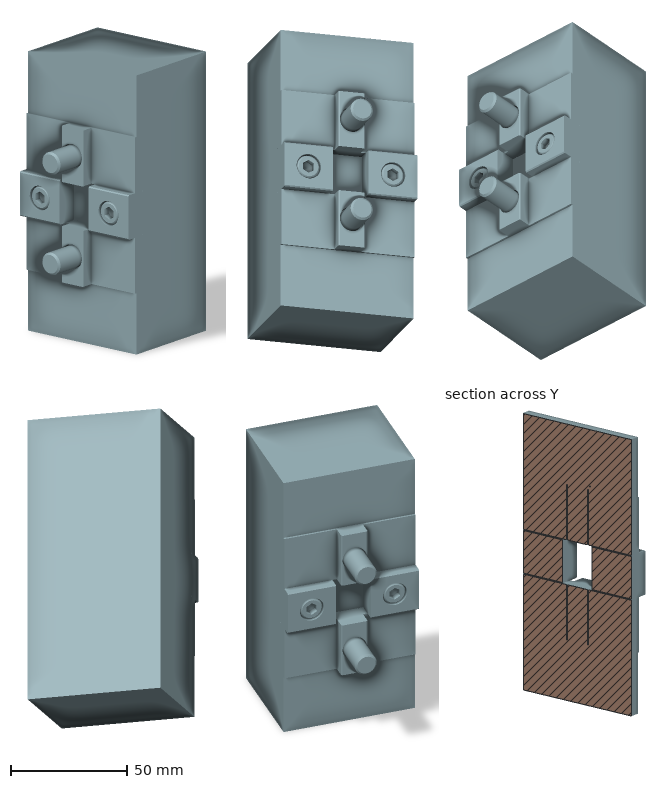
import cadquery as cq
import math

width = 60.0
height = 125.0
block_depth = 48.0

pad_height = 70.0
pad_thickness = 1.0
pad_front = block_depth + pad_thickness

groove_depth = 5.5
groove_floor = pad_front - groove_depth
side_key_width = 20.0
side_key_length = 22.0
side_key_front = 53.5
pin_key_width = 12.0
pin_key_length = (pad_height - side_key_width) / 2
pin_key_front = 55.0
key_chamfer = 0.5

bore_diameter = 11.0
bore_depth = 2.5
pin_diameter = 10.0
pin_end = 70.0
pin_chamfer = 0.9
pin_offset = 22.5
screw_offset = 19.0
head_diameter = 10.0
head_chamfer = 0.6
head_recess = 0.2
head_front = side_key_front - head_recess
socket_flats = 5.0
socket_depth = 3.0
socket_cone_height = 1.5
hexagon_sides = 6
half_hexagon_angle = 180 / hexagon_sides


def box(x_size, z_size, back, front):
    """Box centred on the Y axis, spanning depths back to front."""
    return cq.Workplane("XZ").rect(x_size, z_size).extrude(front - back).translate((0, -back, 0))


def cylinder(diameter, back, front):
    """Cylinder along Y, spanning depths back to front."""
    return cq.Workplane("XZ").circle(diameter / 2).extrude(front - back).translate((0, -back, 0))


def side_key():
    """Key lying along X, with all four long edges chamfered."""
    return box(side_key_length, side_key_width, groove_floor, side_key_front).edges("|X").chamfer(key_chamfer)


def pin_key():
    """Key standing along Z, with all four long edges chamfered."""
    return box(pin_key_width, pin_key_length, groove_floor, pin_key_front).edges("|Z").chamfer(key_chamfer)


def pin():
    """Round pin with a chamfered tip, rooted at the groove floor."""
    return cylinder(pin_diameter, groove_floor, pin_end).faces("<Y").chamfer(pin_chamfer)


def screw():
    """Screw head with a hexagon socket that ends in a cone."""
    head = cylinder(head_diameter, groove_floor, head_front).faces("<Y").chamfer(head_chamfer)
    socket_corners = socket_flats / math.cos(math.radians(half_hexagon_angle))
    socket_floor = head_front - socket_depth
    socket = (
        cq.Workplane("XZ")
        .polygon(hexagon_sides, socket_corners)
        .extrude(socket_depth)
        .rotate((0, 0, 0), (0, 1, 0), half_hexagon_angle)
        .translate((0, -socket_floor, 0))
    )
    cone = cq.Workplane(
        cq.Solid.makeCone(
            socket_flats / 2, 0, socket_cone_height,
            pnt=cq.Vector(0, -socket_floor, 0), dir=cq.Vector(0, 1, 0),
        )
    )
    return head.cut(socket).cut(cone)


body = box(width, height, 0, block_depth)
body = body.union(box(width, pad_height, block_depth, pad_front))
body = body.cut(box(width, side_key_width, groove_floor, pad_front))
body = body.cut(box(pin_key_width, pad_height, groove_floor, pad_front))

side_key_offset = (width - side_key_length) / 2
for side in (-1, 1):
    screw_place = (side * screw_offset, 0, 0)
    key = side_key().translate((side * side_key_offset, 0, 0))
    bore = cylinder(bore_diameter, side_key_front - bore_depth, side_key_front)
    key = key.cut(bore.translate(screw_place))
    hole = cylinder(head_diameter, groove_floor, side_key_front).translate(screw_place)
    body = body.union(key.cut(hole)).union(screw().translate(screw_place))

pin_key_offset = (side_key_width + pin_key_length) / 2
for side in (-1, 1):
    pin_place = (0, 0, side * pin_offset)
    key = pin_key().translate((0, 0, side * pin_key_offset))
    bore = cylinder(bore_diameter, pin_key_front - bore_depth, pin_key_front)
    body = body.union(key.cut(bore.translate(pin_place))).union(pin().translate(pin_place))

result = body